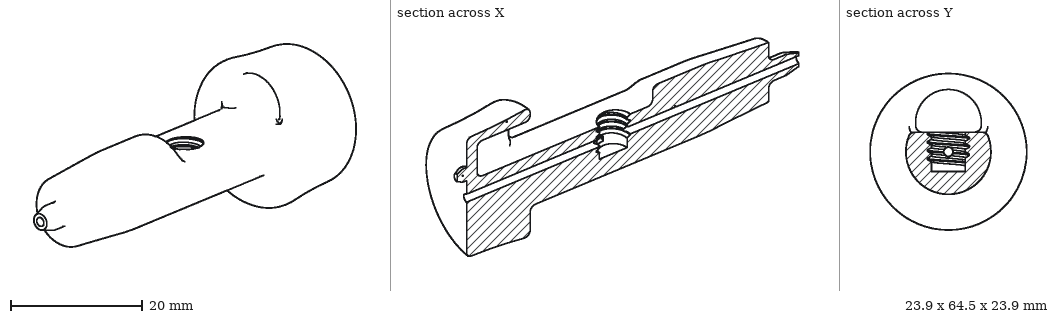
import cadquery as cq
import math


EDGE_ROUND = 1.0

HEAD_LENGTH = 12.05
HEAD_REAR_RADIUS = 11.16
HEAD_FRONT_RADIUS = 12.12

SHAFT_RADIUS = 13.0 / 2
SHAFT_LENGTH = 44.95
TAPER_START = 32.0
TAPER_BLEND_LENGTH = 1.8
SHAFT_END_RADIUS = 5.57
SHAFT_END_ROUND = 0.25

NOZZLE_RADIUS = 4.0 / 2
NOZZLE_TIP_RADIUS = 2.6 / 2
NOZZLE_LENGTH = 5.65
NOZZLE_STRAIGHT_LENGTH = 3.1
NOZZLE_BLEND_LENGTH = 0.4
BORE_DIAMETER = 1.4

SPIGOT_RADIUS = 2.6 / 2
SPIGOT_TIP_RADIUS = 1.4 / 2
SPIGOT_LENGTH = 1.81
SPIGOT_STRAIGHT_LENGTH = 0.4
SPIGOT_BLEND_LENGTH = 0.55

FLAT_HEIGHT = 3.0
FLAT_LENGTH = 23.0
POCKET_RADIUS = 5.0
POCKET_AXIS_HEIGHT = 4.5
POCKET_DEPTH = 10.0

HOLE_DISTANCE = 15.6
THREAD_MINOR_RADIUS = 5.12 / 2
THREAD_MAJOR_RADIUS = 6.35 / 2
THREAD_PITCH = 1.27
THREAD_ROOT_WIDTH = THREAD_PITCH / 8
THREAD_FLANK_ANGLE = 30.0
HOLE_DEPTH = 6.0


def turn(profile):
    """Revolve a profile drawn in XY (X = radius) about the Y axis."""
    return profile.close().revolve(360, (0, 0, 0), (0, 1, 0))


def make_head():
    rise = HEAD_FRONT_RADIUS - HEAD_REAR_RADIUS
    flank_radius = (HEAD_LENGTH**2 + rise**2) / (2 * rise)
    half_length = HEAD_LENGTH / 2
    half_rise = flank_radius - math.sqrt(flank_radius**2 - half_length**2)
    head = turn(
        cq.Workplane("XY")
        .lineTo(HEAD_FRONT_RADIUS, 0)
        .threePointArc((HEAD_REAR_RADIUS + half_rise, half_length), (HEAD_REAR_RADIUS, HEAD_LENGTH))
        .lineTo(0, HEAD_LENGTH)
    )
    return head.edges("%CIRCLE").edges("<Y or >Y").fillet(EDGE_ROUND)


def add_tapered_tip(profile, radius, straight_end, blend_length, tip_radius, tip_end):
    """Continue a profile along +Y: straight side, tangent blend, cone and end face."""
    cone_slope = (radius - tip_radius) / (tip_end - straight_end - blend_length / 2)
    blend_end_radius = radius - cone_slope * blend_length / 2
    return (
        profile.lineTo(radius, straight_end)
        .tangentArcPoint((blend_end_radius, straight_end + blend_length), relative=False)
        .lineTo(tip_radius, tip_end)
        .lineTo(0, tip_end)
    )


def make_shaft():
    embed = HEAD_LENGTH / 2
    base = cq.Workplane("XY").moveTo(0, -embed).lineTo(SHAFT_RADIUS, -embed)
    profile = add_tapered_tip(
        base,
        SHAFT_RADIUS,
        TAPER_START,
        TAPER_BLEND_LENGTH,
        SHAFT_END_RADIUS,
        SHAFT_LENGTH,
    )
    shaft = turn(profile).mirror("XZ")
    return shaft.faces("<Y").edges().fillet(SHAFT_END_ROUND)


def make_nozzle():
    base_radius = NOZZLE_RADIUS + EDGE_ROUND
    base = (
        cq.Workplane("XY")
        .moveTo(0, -EDGE_ROUND)
        .lineTo(base_radius, -EDGE_ROUND)
        .lineTo(base_radius, 0)
        .radiusArc((NOZZLE_RADIUS, EDGE_ROUND), EDGE_ROUND)
    )
    profile = add_tapered_tip(
        base,
        NOZZLE_RADIUS,
        NOZZLE_STRAIGHT_LENGTH,
        NOZZLE_BLEND_LENGTH,
        NOZZLE_TIP_RADIUS,
        NOZZLE_LENGTH,
    )
    nozzle = turn(profile).mirror("XZ")
    return nozzle.translate((0, -SHAFT_LENGTH, 0))


def make_spigot():
    profile = add_tapered_tip(
        cq.Workplane("XY").lineTo(SPIGOT_RADIUS, 0),
        SPIGOT_RADIUS,
        SPIGOT_STRAIGHT_LENGTH,
        SPIGOT_BLEND_LENGTH,
        SPIGOT_TIP_RADIUS,
        SPIGOT_LENGTH,
    )
    return turn(profile).translate((0, HEAD_LENGTH, POCKET_AXIS_HEIGHT))


def make_flat_cutter():
    cutter = cq.Workplane("XY").box(
        4 * SHAFT_RADIUS, FLAT_LENGTH, 2 * SHAFT_RADIUS, centered=(True, False, False)
    )
    cutter = cutter.edges("<Y and <Z").fillet(EDGE_ROUND)
    return cutter.translate((0, -FLAT_LENGTH, FLAT_HEIGHT))


def make_pocket_cutter():
    """Pocket with rounded inside corners and a mouth that flares out to the head face."""
    pocket = (
        cq.Workplane("XZ")
        .moveTo(-POCKET_RADIUS, FLAT_HEIGHT)
        .lineTo(POCKET_RADIUS, FLAT_HEIGHT)
        .lineTo(POCKET_RADIUS, POCKET_AXIS_HEIGHT)
        .threePointArc(
            (0, POCKET_AXIS_HEIGHT + POCKET_RADIUS), (-POCKET_RADIUS, POCKET_AXIS_HEIGHT)
        )
        .close()
        .extrude(-POCKET_DEPTH)
    )
    pocket = pocket.edges("|Y and <Z").fillet(EDGE_ROUND)
    pocket = pocket.faces(">Y").edges().fillet(EDGE_ROUND)

    block_size = 4 * HEAD_FRONT_RADIUS
    block = cq.Workplane("XY").box(block_size, HEAD_LENGTH, block_size, centered=(True, False, True))
    mould = block.cut(pocket)
    mould = mould.faces("<Y").edges(cq.selectors.RadiusNthSelector(0)).fillet(EDGE_ROUND)
    flared = block.cut(mould)
    mouth = flared.faces("<Y").val()
    clearance = cq.Workplane(cq.Solid.extrudeLinear(mouth, cq.Vector(0, -EDGE_ROUND, 0)))
    above_flat = block.translate((0, -EDGE_ROUND, FLAT_HEIGHT + block_size / 2))
    return flared.union(clearance).intersect(above_flat)


def make_threaded_hole_cutter():
    drill = cq.Workplane("XY").circle(THREAD_MINOR_RADIUS).extrude(HOLE_DEPTH + THREAD_PITCH)
    drill = drill.translate((0, 0, FLAT_HEIGHT - HOLE_DEPTH))

    overlap = 0.1
    half_root = THREAD_ROOT_WIDTH / 2
    inner_radius = THREAD_MINOR_RADIUS - overlap
    flank_slope = math.tan(math.radians(THREAD_FLANK_ANGLE))
    half_mouth = half_root + (THREAD_MAJOR_RADIUS - inner_radius) * flank_slope
    helix = cq.Wire.makeHelix(THREAD_PITCH, HOLE_DEPTH, THREAD_MINOR_RADIUS)
    groove = (
        cq.Workplane("XZ")
        .moveTo(inner_radius, -half_mouth)
        .lineTo(THREAD_MAJOR_RADIUS, -half_root)
        .lineTo(THREAD_MAJOR_RADIUS, half_root)
        .lineTo(inner_radius, half_mouth)
        .close()
        .sweep(cq.Workplane(helix), isFrenet=True)
        .translate((0, 0, FLAT_HEIGHT - HOLE_DEPTH + THREAD_PITCH))
    )
    return drill.union(groove).translate((0, -HOLE_DISTANCE, 0))


def round_flat(body):
    """Round the long sides of the flat and the rim of its end wall, one tangent chain."""
    half_width = math.sqrt(SHAFT_RADIUS**2 - FLAT_HEIGHT**2)
    mid_length = (EDGE_ROUND - FLAT_LENGTH) / 2
    side = cq.selectors.NearestToPointSelector((half_width, mid_length, FLAT_HEIGHT))
    return body.edges(side).fillet(EDGE_ROUND)


def round_collar(body):
    """Fill the corner where the shaft meets the front face of the head."""
    reach = SHAFT_RADIUS + EDGE_ROUND / 2
    sliver = EDGE_ROUND / 10
    zone = cq.selectors.BoxSelector(
        (-reach, -sliver, -reach), (reach, sliver, FLAT_HEIGHT - sliver), boundingbox=True
    )
    return body.edges(zone).fillet(EDGE_ROUND)


def make_bore_cutter():
    length = HEAD_LENGTH + SHAFT_LENGTH + NOZZLE_LENGTH
    bore = cq.Workplane("XZ").circle(BORE_DIAMETER / 2).extrude(length)
    return bore.translate((0, HEAD_LENGTH, 0))


result = make_head().union(make_shaft()).union(make_nozzle()).union(make_spigot())
result = result.cut(make_flat_cutter())
result = round_flat(result)
result = round_collar(result)
result = result.cut(make_pocket_cutter()).cut(make_threaded_hole_cutter()).cut(make_bore_cutter())